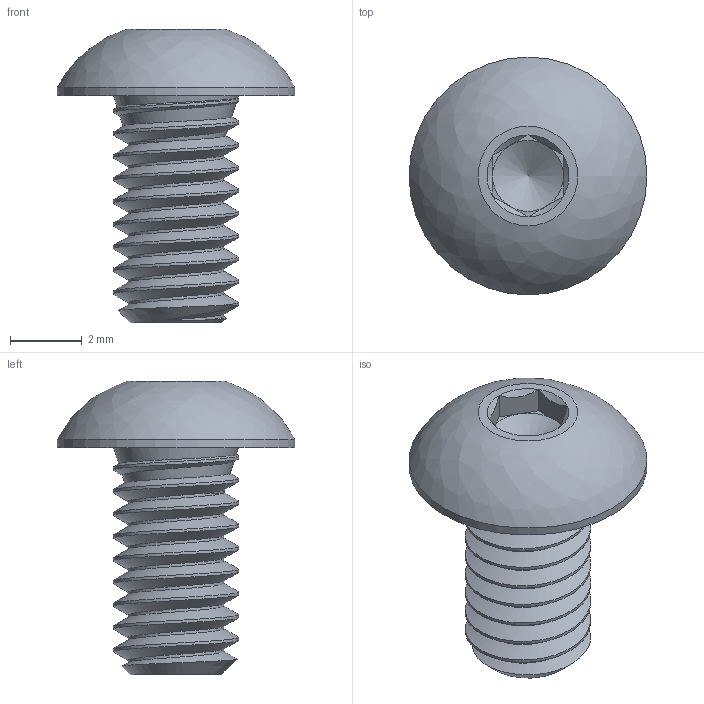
import cadquery as cq
import math


head_diameter = 6.654
head_height = 1.854
head_rim_height = 0.235
head_flat_diameter = 2.79
dome_bulge = 0.25

hex_across_flats = 1.984
hex_half_angle = 30.0
hex_corner_diameter = hex_across_flats / math.cos(math.radians(hex_half_angle))
hex_depth = 0.73
socket_chamfer_angle = 45.0
drill_point_angle = 118.0

pitch = 0.635
thread_half_angle = 30.0
major_radius = 3.505 / 2
shank_length = 6.35
sharp_height = pitch / 2 / math.tan(math.radians(thread_half_angle))
root_radius = major_radius - 0.75 * sharp_height
flank_slope = math.tan(math.radians(thread_half_angle))
root_flat = pitch / 8
crest_offset = -0.11
runout_length = 2 * pitch
end_chamfer = 0.75 * pitch
end_clearance = 2 * pitch
groove_overcut = 0.04


def make_head():
    """Domed head with a short cylindrical rim and a flat top."""
    rim_radius = head_diameter / 2
    flat_radius = head_flat_diameter / 2
    return (
        cq.Workplane("XZ")
        .lineTo(rim_radius, 0)
        .lineTo(rim_radius, head_rim_height)
        .sagittaArc((flat_radius, head_height), -dome_bulge)
        .lineTo(0, head_height)
        .close()
        .revolve(360, (0, 0), (0, 1))
    )


def make_shank_blank():
    """Full-diameter shank, chamfered at its free end."""
    blank = cq.Workplane("XY").circle(major_radius).extrude(-shank_length)
    return blank.faces("<Z").chamfer(end_chamfer)


def make_core():
    """Root cylinder that flares to the full diameter where it meets the head."""
    bottom = -shank_length - end_clearance
    return (
        cq.Workplane("XZ")
        .moveTo(0, bottom)
        .lineTo(root_radius, bottom)
        .lineTo(root_radius, -runout_length)
        .lineTo(major_radius, 0)
        .lineTo(major_radius, end_clearance)
        .lineTo(0, end_clearance)
        .close()
        .revolve(360, (0, 0), (0, 1))
    )


def make_helix(start, turns):
    """Right-handed helix built of one edge per turn, which keeps the swept faces short."""
    edges = []
    for turn in range(turns):
        turn_base = cq.Vector(0, 0, start + turn * pitch)
        edges += cq.Wire.makeHelix(pitch, pitch, root_radius, center=turn_base).Edges()
    return cq.Wire.assembleEdges(edges)


def make_groove():
    """Helical V groove, cut past the root so that the core limits its depth."""
    inner_radius = root_radius - groove_overcut
    outer_radius = major_radius + groove_overcut
    inner_half = root_flat / 2 - groove_overcut * flank_slope
    outer_half = inner_half + (outer_radius - inner_radius) * flank_slope
    turns = math.ceil(shank_length / pitch) + 2
    middle_of_groove = crest_offset + pitch / 2
    start = middle_of_groove - (turns - 1) * pitch
    profile = (
        cq.Workplane("XZ")
        .moveTo(inner_radius, start - inner_half)
        .lineTo(outer_radius, start - outer_half)
        .lineTo(outer_radius, start + outer_half)
        .lineTo(inner_radius, start + inner_half)
        .close()
    )
    return profile.sweep(cq.Workplane(make_helix(start, turns)), isFrenet=True)


def make_socket():
    """Hexagon socket with a chamfered mouth and a conical drill point."""
    chamfer_radius = hex_corner_diameter / 2
    chamfer_depth = chamfer_radius / math.tan(math.radians(socket_chamfer_angle))
    drill_radius = hex_across_flats / 2
    drill_depth = drill_radius / math.tan(math.radians(drill_point_angle / 2))
    floor = head_height - hex_depth

    hexagon = (
        cq.Workplane("XY", origin=(0, 0, floor))
        .polygon(6, hex_corner_diameter)
        .extrude(hex_depth)
        .rotate((0, 0, 0), (0, 0, 1), hex_half_angle)
    )
    mouth = cq.Solid.makeCone(
        chamfer_radius, 0, chamfer_depth, cq.Vector(0, 0, head_height), cq.Vector(0, 0, -1)
    )
    drill_point = cq.Solid.makeCone(
        drill_radius, 0, drill_depth, cq.Vector(0, 0, floor), cq.Vector(0, 0, -1)
    )
    return hexagon.union(cq.Workplane(mouth)).union(cq.Workplane(drill_point))


shank = make_shank_blank().cut(make_groove().cut(make_core()))
result = make_head().union(shank).cut(make_socket())